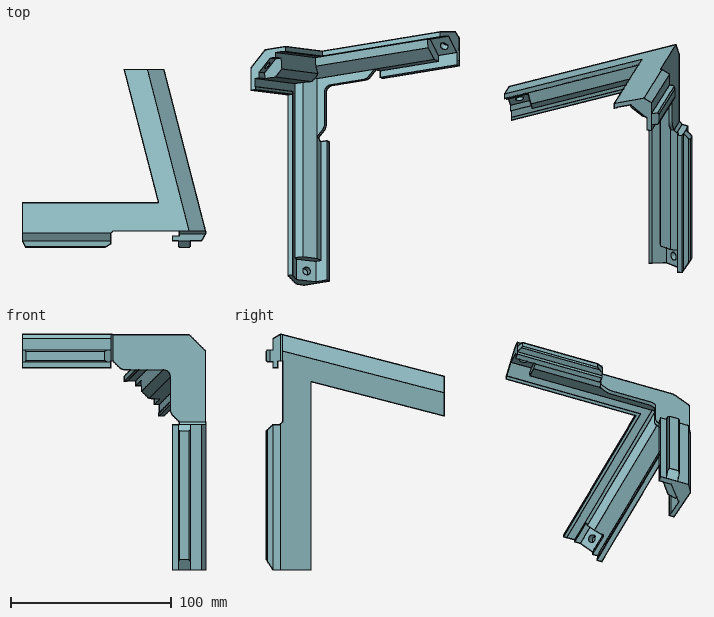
import cadquery as cq


drift = 0.258
rear_direction = (-drift, 1, -drift)
ridge_y = -1.2
rear_y = 100.9

x_arm_length = 114.5
z_arm_length = 147.0
x_rail_end = 59.4
z_rail_end = 56.5
x_shoulder = 1.3
z_shoulder = 1.8
pocket_length = 13.2
wing_y = 17.8
skin = 3.0
lip_width = 1.9
lip_height = 0.3
front_y = -6.0
flange_y = -3.0
flange_depth = 21.0
ridge_drop = 2.8
core_depth = 16.9
core_slant_y = 2.2
core_side = (9.9, -11.3)
core_foot_y = 11.0
pocket_foot_y = 7.2
pocket_front_depth = 13.1

bar_top = 9.9
bar_bottom = 17.3
bar_height = 4.3
bar_bevel = 0.9
end_slope_run = 4.0
x_bar_slope_rise = 2.4
z_bar_slope_rise = 4.1
x_bar_outer_run = 2.2
z_bar_outer_run = 6.6

panel_thickness = 2.2
panel_depth = 22.3
panel_inner_radius = 4.1
panel_end_radius = 5.1

corner_bevel = 10.3
rear_wing = 24.8
rear_core_side = 17.6
rear_core_corner = 13.1
rear_pocket_corner = 14.0
rear_pocket_depth = 6.0
rear_pocket_y = 88.8

arm_hole_diameter = 5.0
arm_hole_y = 1.9
arm_hole_from_end = 6.3
rear_hole_diameter = 4.9
rear_hole_from_end = 6.3
hole_depth = 4.4

clearance = 3.0
mirror_normal = cq.Vector(1, 0, -1)


def outer_plane(y):
    """Height of the tilted outer plane at y."""
    return -drift * (y - ridge_y)


def to_z_arm(shape):
    """Swap X and Z by reflection in the plane x = z."""
    return cq.Workplane(shape.val().mirror(mirror_normal))


def along_x(points, x_start, x_end):
    """Extrude a (y, z) outline along X."""
    return cq.Workplane("YZ", origin=(x_start, 0, 0)).polyline(points).close().extrude(x_end - x_start)


def drifting_prism(points, y_start, y_end):
    """Sweep an (x, z) outline along the drifting rear direction."""
    shift = outer_plane(y_start)
    corners = [cq.Vector(x + shift, y_start, z + shift) for x, z in points]
    drift_vector = cq.Vector(*rear_direction) * (y_end - y_start)
    outline = cq.Wire.makePolygon(corners, close=True)
    return cq.Workplane(cq.Solid.extrudeLinear(outline, [], drift_vector))


def mirrored_outline(half):
    """Complete an outline with the reflection of its points in x = z."""
    return half + [(z, x) for x, z in reversed(half)]


def drill(shape, center, direction, diameter):
    """Drill a blind hole, starting a little outside the face."""
    axis = cq.Vector(*direction).normalized()
    start = cq.Vector(*center) - axis * clearance
    return shape.cut(cq.Workplane(cq.Solid.makeCylinder(diameter / 2, hole_depth + clearance, start, axis)))


def front_bar(length, rail_end, outer_run, slope_rise):
    """Bevelled bar on the front of a rail, with sloped ends."""
    tip_y = front_y - bar_height
    section = [
        (front_y, -bar_top),
        (tip_y + bar_bevel, -bar_top),
        (tip_y, -bar_top - bar_bevel),
        (tip_y, -bar_bottom + bar_bevel),
        (tip_y + bar_bevel, -bar_bottom),
        (front_y, -bar_bottom),
    ]
    side = [
        (-length, front_y),
        (-length + outer_run, tip_y),
        (-rail_end - end_slope_run, tip_y),
        (-rail_end, tip_y + slope_rise),
        (-rail_end, front_y),
    ]
    trim = cq.Workplane("XY", origin=(0, 0, -flange_depth)).polyline(side).close().extrude(flange_depth)
    return along_x(section, -length, -rail_end).intersect(trim)


def straight_arm(length, rail_end, shoulder, outer_run, slope_rise):
    """Arm along -X: wing, core, front rail with its bar, end pocket and screw hole."""
    pocket_foot = (pocket_foot_y, outer_plane(pocket_foot_y) - skin)
    lip_y = wing_y - lip_width
    core_foot = (core_foot_y, outer_plane(core_foot_y) - skin)
    core = [(flange_y, -core_depth), (core_slant_y, -core_depth), core_side, core_foot]
    outline = [
        (wing_y, outer_plane(wing_y)),
        (ridge_y, 0),
        (front_y, -ridge_drop),
        (front_y, -flange_depth),
        (flange_y, -flange_depth),
    ] + core + [
        (lip_y, outer_plane(lip_y) - skin),
        (lip_y, outer_plane(lip_y) - skin - lip_height),
        (wing_y, outer_plane(wing_y) - skin - lip_height),
    ]
    arm = along_x(outline, -length, 0)

    lip_end = -rear_wing + lip_width
    lip_space = [
        (lip_end, -skin),
        (lip_end, -skin - lip_height),
        (clearance, -skin - lip_height),
        (clearance, -skin),
    ]
    arm = arm.cut(drifting_prism(lip_space, lip_y, wing_y))

    relief = [
        (-rail_end, front_y - clearance),
        (-rail_end, -shoulder),
        (-rail_end + shoulder, 0),
        (clearance, 0),
        (clearance, front_y - clearance),
    ]
    arm = arm.cut(cq.Workplane("XY", origin=(0, 0, -core_depth)).polyline(relief).close().extrude(length))
    flange_space = cq.Workplane().box(rail_end, -front_y, core_depth, centered=False)
    arm = arm.cut(flange_space.translate((-rail_end, front_y, -2 * core_depth)))

    pocket = [(flange_y, -pocket_front_depth)] + core + [pocket_foot]
    arm = arm.cut(along_x(pocket, -length, -length + pocket_length))

    run = pocket_foot[0] - flange_y
    rise = pocket_foot[1] + pocket_front_depth
    hole_z = -pocket_front_depth + rise * (arm_hole_y - flange_y) / run
    center = (-length + arm_hole_from_end, arm_hole_y, hole_z)
    arm = drill(arm, center, (0, -rise, run), arm_hole_diameter)
    return arm.union(front_bar(length, rail_end, outer_run, slope_rise))


def rear_arm():
    """Arm along +Y with two wings, a core, an end pocket and a screw hole."""
    outline = mirrored_outline([
        (-rear_core_side, -rear_core_corner),
        (-rear_core_side, -skin),
        (-rear_wing, -skin),
        (-rear_wing, 0),
        (-corner_bevel, 0),
    ])
    arm = drifting_prism(outline, 0, rear_y)

    lip = [
        (-rear_wing, 0),
        (-rear_wing, -skin - lip_height),
        (-rear_wing + lip_width, -skin - lip_height),
        (-rear_wing + lip_width, 0),
    ]
    for edge in (lip, [(z, x) for x, z in lip]):
        arm = arm.union(drifting_prism(edge, wing_y - lip_width, rear_y))

    pocket = mirrored_outline([
        (-rear_core_side, -rear_core_side),
        (-rear_core_side, -rear_pocket_depth),
        (-rear_pocket_corner, -rear_pocket_depth),
    ])
    inset = outer_plane(rear_pocket_y) - (rear_pocket_corner + rear_pocket_depth) / 2
    end_plane = cq.Plane((inset, rear_pocket_y, inset), normal=rear_direction)
    pocket_zone = cq.Workplane(end_plane).circle(rear_wing).extrude(2 * pocket_length)
    arm = arm.cut(drifting_prism(pocket, 0, rear_y).intersect(pocket_zone))

    hole_y = rear_y - rear_hole_from_end
    middle = -(rear_pocket_corner + rear_pocket_depth) / 2 + outer_plane(hole_y)
    return drill(arm, (middle, hole_y, middle), (1, 2 * drift, 1), rear_hole_diameter)


def outer_envelope():
    """Space inside the two tilted outer planes and the bevel between them."""
    reach = z_arm_length + clearance
    outline = mirrored_outline([(-reach, -reach), (-reach, 0), (-corner_bevel, 0)])
    return drifting_prism(outline, front_y - bar_height - clearance, rear_y)


def corner_panel():
    """Flat L-shaped panel joining the two straight arms at the front."""
    x_end = -x_rail_end + x_shoulder
    z_end = -z_rail_end + z_shoulder
    step = panel_depth - core_depth
    outline = [
        (x_end, 0), (0, 0), (0, z_end),
        (-core_depth, z_end), (-panel_depth, z_end + step),
        (-panel_depth, -panel_depth),
        (x_end + step, -panel_depth), (x_end, -core_depth),
    ]
    panel = cq.Workplane("XZ").polyline(outline).close().extrude(-panel_thickness)
    middle_y = panel_thickness / 2

    def edge_at(x, z):
        return panel.edges(cq.selectors.NearestToPointSelector((x, middle_y, z))).vals()

    inner = edge_at(-panel_depth, -panel_depth)
    ends = edge_at(x_end + step, -panel_depth) + edge_at(-panel_depth, z_end + step)
    panel = panel.newObject(inner).fillet(panel_inner_radius).newObject(ends)
    return panel.fillet(panel_end_radius)


x_arm = straight_arm(x_arm_length, x_rail_end, x_shoulder, x_bar_outer_run, x_bar_slope_rise)
z_arm = to_z_arm(straight_arm(z_arm_length, z_rail_end, z_shoulder, z_bar_outer_run, z_bar_slope_rise))
front_frame = x_arm.union(z_arm).union(corner_panel()).intersect(outer_envelope())
result = front_frame.union(rear_arm()).clean()